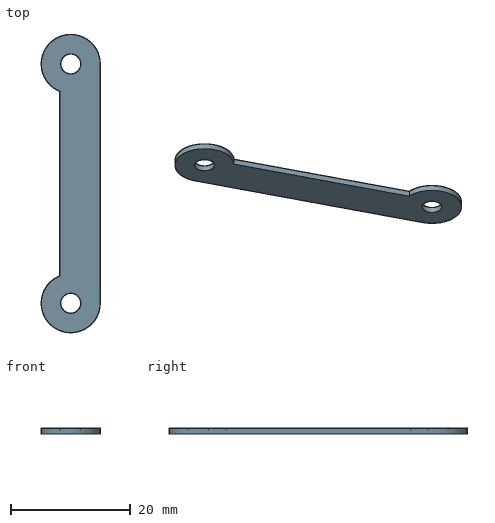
import cadquery as cq

thickness = 1.0
eye_diameter = 9.9
hole_diameter = 3.3
hole_spacing = 40.0
strap_width = 6.8

strap_right_x = eye_diameter / 2
strap_center_x = strap_right_x - strap_width / 2
hole_centers = [(0, -hole_spacing / 2), (0, hole_spacing / 2)]


def make_strap():
    """Flat bar running along Y from one hole center to the other."""
    return (
        cq.Workplane("XY")
        .center(strap_center_x, 0)
        .rect(strap_width, hole_spacing)
        .extrude(thickness)
    )


def make_discs(diameter):
    """Full-thickness round discs centered on the two hole centers."""
    return cq.Workplane("XY").pushPoints(hole_centers).circle(diameter / 2).extrude(thickness)


link = make_strap().union(make_discs(eye_diameter))
result = link.cut(make_discs(hole_diameter))